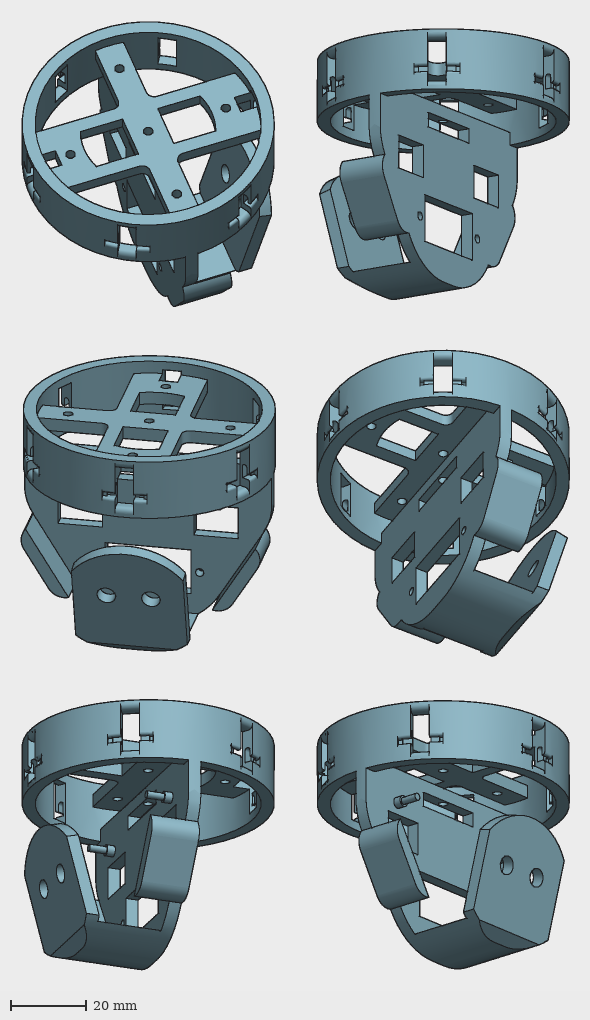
import cadquery as cq
import math

RING_R = 33.5
RING_INNER_R = 30.0
RING_H = 16.5
WALL = 3.5

OVERSHOOT = 1.0

CROSS_Z = 9.5
CROSS_WIDE = 20.0
CROSS_NARROW = 8.0
CROSS_CORNER_R = 2.2
CROSS_SCREW_D = 2.5
CROSS_SCREW_POS = 22.0
CROSS_OPENING_W = 12.2
CROSS_OPENING_START = 5.0
CROSS_OPENING_R = 18.0
CROSS_OVERLAP_R = RING_INNER_R + OVERSHOOT

ROLLER_COUNT = 6
ROLLER_FIRST_ANGLE = 30.0
ROLLER_W = 5.0
ROLLER_H = 11.5
ROLLER_LIP_R = 1.5
ROLLER_INNER_R = 25.35
ROLLER_Z = RING_H / 2

AXLE_SLOT_W = 1.6
AXLE_SLOT_R = 31.6
AXLE_L = 10.0
AXLE_ENTRY_L = 12.2
AXLE_ENTRY_FLOOR_R = 31.7
AXLE_ENTRY_Z = 5.0
AXLE_ENTRY_H = 1.5
AXLE_LIP_R = 0.7

PLATE_BOTTOM = -45.0
PLATE_TOP = 3.5
CHAMFER_X = 20.0
CHAMFER_Z = 32.5
UPPER_CORNER_R = 15.0
LOWER_CORNER_R = 20.0
TOP_SLOT_W = 20.0
TOP_SLOT_H = 4.0
EYE_W = 12.0
EYE_H = 9.0
EYE_X = 18.4
EYE_Z = -14.0
SENSOR_W = 23.2
SENSOR_H = 12.8
SENSOR_Z = -29.4
SENSOR_SCREW_D = 2.2
SENSOR_SCREW_X = 14.0

PEG_X = 20.7
PEG_Z = -6.2
PEG_BASE_D = 3.0
PEG_BASE_L = 2.2
PEG_D = 1.95
PEG_L = 7.0

PAD_RAISE = 3.5
PAD_CORNER_R = 5.0
PAD_OVERHANG = 10.0

SHELF_L = 18.0
WING_TILT = 15.0
WING_L = 31.6
WING_W = 30.3
WING_TOP_R = 19.0
WING_HOLE_D = 5.0
WING_HOLE_X = 6.05
WING_HOLE_HEIGHT = 16.8

CUT_R = RING_R + OVERSHOOT
BACK_Y = WALL / 2
CHAMFER_L = math.hypot(CHAMFER_X, CHAMFER_Z)
CHAMFER_SLOPE = math.degrees(math.atan2(CHAMFER_Z, CHAMFER_X))
UPPER_TANGENT = UPPER_CORNER_R * math.tan(math.radians(90 - CHAMFER_SLOPE) / 2)
LOWER_TANGENT = LOWER_CORNER_R * math.tan(math.radians(CHAMFER_SLOPE) / 2)
CHAMFER_TOP_Z = PLATE_BOTTOM + CHAMFER_Z


def box(x_size, y_size, z_size, x=0, y=0, z=0):
    """Box centred on x and y, standing on z."""
    return cq.Workplane("XY").box(x_size, y_size, z_size, centered=(True, True, False)).translate((x, y, z))


def make_ring():
    return cq.Workplane("XY").circle(RING_R).circle(RING_INNER_R).extrude(RING_H)


def make_cross():
    reach = 2 * CROSS_OVERLAP_R
    cross = box(CROSS_WIDE, reach, WALL).union(box(reach, CROSS_NARROW, WALL))
    inner_corners = cq.selectors.BoxSelector(
        (-CROSS_WIDE, -CROSS_NARROW, -WALL), (CROSS_WIDE, CROSS_NARROW, 2 * WALL)
    )
    cross = cross.edges("|Z").edges(inner_corners).fillet(CROSS_CORNER_R)
    cross = cross.intersect(cq.Workplane("XY").circle(CROSS_OVERLAP_R).extrude(WALL))

    opening_l = CROSS_OPENING_R - CROSS_OPENING_START
    openings = box(CROSS_OPENING_W, opening_l, WALL, y=CROSS_OPENING_START + opening_l / 2)
    openings = openings.union(openings.mirror("XZ"))
    openings = openings.intersect(cq.Workplane("XY").circle(CROSS_OPENING_R).extrude(WALL))

    pos = CROSS_SCREW_POS
    screws = cq.Workplane("XY").pushPoints([(0, 0), (pos, 0), (-pos, 0), (0, pos), (0, -pos)])
    screws = screws.circle(CROSS_SCREW_D / 2).extrude(WALL)
    return cross.cut(openings).cut(screws).translate((0, 0, CROSS_Z))


def flared_band(inner_r, z_low, z_high, lip_r):
    """Annular band whose mouth at the ring surface widens over a convex rounded lip."""
    neck_r = RING_R - lip_r
    bend = lip_r * math.sqrt(0.5)
    return (
        cq.Workplane("XZ")
        .moveTo(inner_r, z_low)
        .lineTo(neck_r, z_low)
        .threePointArc((neck_r + bend, z_low - lip_r + bend), (RING_R, z_low - lip_r))
        .lineTo(CUT_R, z_low - lip_r)
        .lineTo(CUT_R, z_high + lip_r)
        .lineTo(RING_R, z_high + lip_r)
        .threePointArc((neck_r + bend, z_high + lip_r - bend), (neck_r, z_high))
        .lineTo(inner_r, z_high)
        .close()
        .revolve(360, (0, 0, 0), (0, 1, 0))
    )


def radial_block(inner_r, outer_r, width, z_low, z_high):
    return box(outer_r - inner_r, width, z_high - z_low, x=(inner_r + outer_r) / 2, z=z_low)


def make_roller_cut():
    """Window and axle seat of the roller on the +X side."""
    slot_inner_r = AXLE_SLOT_R - AXLE_SLOT_W / 2
    slot_outer_r = AXLE_SLOT_R + AXLE_SLOT_W / 2
    entry_top = AXLE_ENTRY_Z + AXLE_ENTRY_H
    window_low = ROLLER_Z - ROLLER_H / 2
    window_high = ROLLER_Z + ROLLER_H / 2

    window = flared_band(RING_INNER_R - OVERSHOOT, window_low, window_high, ROLLER_LIP_R)
    window = window.intersect(radial_block(0, CUT_R, ROLLER_W, 0, RING_H))
    clearance = radial_block(ROLLER_INNER_R, RING_INNER_R, ROLLER_W, window_low, window_high)

    entry = flared_band(RING_INNER_R, AXLE_ENTRY_Z, entry_top, AXLE_LIP_R)
    entry = entry.intersect(radial_block(AXLE_ENTRY_FLOOR_R, CUT_R, AXLE_ENTRY_L, 0, RING_H))
    entry_floor = radial_block(slot_inner_r, AXLE_ENTRY_FLOOR_R, AXLE_L, AXLE_ENTRY_Z, entry_top)

    slot = radial_block(slot_inner_r, slot_outer_r, AXLE_L, AXLE_ENTRY_Z, ROLLER_Z)
    seat = cq.Workplane("XZ", origin=(AXLE_SLOT_R, AXLE_L / 2, ROLLER_Z))
    seat = seat.circle(AXLE_SLOT_W / 2).extrude(AXLE_L)
    return window.union(clearance).union(entry).union(entry_floor).union(slot).union(seat)


def plate_outline(length):
    """Lower outline of the face plate, from its front face toward +Y by the given length."""
    half_flat = RING_R - CHAMFER_X
    body = (
        cq.Workplane("XZ", origin=(0, -BACK_Y, 0))
        .polyline([
            (-RING_R, PLATE_TOP),
            (-RING_R, CHAMFER_TOP_Z),
            (-half_flat, PLATE_BOTTOM),
            (half_flat, PLATE_BOTTOM),
            (RING_R, CHAMFER_TOP_Z),
            (RING_R, PLATE_TOP),
        ])
        .close()
        .extrude(-length)
    )
    body = body.edges("|Y and <Z").fillet(LOWER_CORNER_R)
    middle = cq.selectors.BoxSelector(
        (-2 * RING_R, -length, CHAMFER_TOP_Z - OVERSHOOT), (2 * RING_R, length, CHAMFER_TOP_Z + OVERSHOOT)
    )
    return body.edges("|Y").edges(middle).fillet(UPPER_CORNER_R)


def make_plate():
    plate = plate_outline(WALL)
    rim = cq.Workplane("XY").workplane(offset=PLATE_BOTTOM).circle(RING_R).extrude(PLATE_TOP - PLATE_BOTTOM)
    plate = plate.intersect(rim)

    plate = plate.cut(box(TOP_SLOT_W, WALL, TOP_SLOT_H, z=-TOP_SLOT_H))
    plate = plate.cut(box(SENSOR_W, WALL, SENSOR_H, z=SENSOR_Z - SENSOR_H / 2))
    for side in (-1, 1):
        plate = plate.cut(box(EYE_W, WALL, EYE_H, x=side * EYE_X, z=EYE_Z - EYE_H / 2))

    sensor_screws = (
        cq.Workplane("XZ", origin=(0, BACK_Y, 0))
        .pushPoints([(-SENSOR_SCREW_X, SENSOR_Z), (SENSOR_SCREW_X, SENSOR_Z)])
        .circle(SENSOR_SCREW_D / 2)
        .extrude(WALL)
    )
    edge_screws = (
        cq.Workplane("XY")
        .pushPoints([(-CROSS_SCREW_POS, 0), (0, 0), (CROSS_SCREW_POS, 0)])
        .circle(CROSS_SCREW_D / 2)
        .extrude(PLATE_TOP)
    )
    return plate.cut(sensor_screws).cut(edge_screws)


def make_pegs():
    back = cq.Workplane("XZ", origin=(0, BACK_Y, 0)).pushPoints([(-PEG_X, PEG_Z), (PEG_X, PEG_Z)])
    return back.circle(PEG_BASE_D / 2).extrude(-PEG_BASE_L).union(back.circle(PEG_D / 2).extrude(-PEG_L))


def make_pads():
    """Rounded pads standing on the straight sloped edges of the plate."""
    pad_l = CHAMFER_L - UPPER_TANGENT - LOWER_TANGENT
    depth = WALL + PAD_OVERHANG
    slope = math.radians(CHAMFER_SLOPE)
    down = (math.cos(slope), 0, -math.sin(slope))
    start = (
        -RING_R + UPPER_TANGENT * math.cos(slope),
        -BACK_Y,
        CHAMFER_TOP_Z - UPPER_TANGENT * math.sin(slope),
    )
    plane = cq.Plane(origin=start, xDir=down, normal=(0, 1, 0))
    arc_run = math.sqrt(PAD_CORNER_R**2 - (PAD_CORNER_R - PAD_RAISE) ** 2)
    pad = (
        cq.Workplane(plane)
        .moveTo(PAD_CORNER_R - arc_run, 0)
        .radiusArc((PAD_CORNER_R, PAD_RAISE), PAD_CORNER_R)
        .lineTo(pad_l - PAD_CORNER_R, PAD_RAISE)
        .radiusArc((pad_l - PAD_CORNER_R + arc_run, 0), PAD_CORNER_R)
        .close()
        .extrude(depth)
    )
    return pad.union(pad.mirror("YZ"))


def make_shelf_and_wing():
    tilt = math.radians(WING_TILT)
    outward = (math.cos(tilt), -math.sin(tilt))
    foot_y = BACK_Y + SHELF_L
    foot_z = PLATE_BOTTOM + WALL

    shelf = box(2 * RING_R, BACK_Y + foot_y, WALL, y=(foot_y - BACK_Y) / 2, z=PLATE_BOTTOM)
    knee = (
        cq.Workplane("YZ", origin=(-RING_R, 0, 0))
        .polyline([
            (foot_y, foot_z),
            (foot_y, PLATE_BOTTOM),
            (foot_y + WALL * outward[0], foot_z + WALL * outward[1]),
        ])
        .close()
        .extrude(2 * RING_R)
    )

    plane = cq.Plane(origin=(0, foot_y, foot_z), xDir=(-1, 0, 0), normal=(0, *outward))
    half_w = WING_W / 2
    shoulder = WING_L - WING_TOP_R + math.sqrt(WING_TOP_R**2 - half_w**2)
    wing = (
        cq.Workplane(plane)
        .moveTo(-half_w, 0)
        .lineTo(-half_w, shoulder)
        .threePointArc((0, WING_L), (half_w, shoulder))
        .lineTo(half_w, 0)
        .close()
        .extrude(WALL)
    )
    sensor_holes = (
        cq.Workplane(plane)
        .pushPoints([(-WING_HOLE_X, WING_HOLE_HEIGHT), (WING_HOLE_X, WING_HOLE_HEIGHT)])
        .circle(WING_HOLE_D / 2)
        .extrude(WALL)
    )
    wing = wing.cut(sensor_holes)
    reach = foot_y + WING_L
    return shelf.union(knee).union(wing).intersect(plate_outline(reach))


result = make_ring().union(make_cross())
roller_cut = make_roller_cut()
for i in range(ROLLER_COUNT):
    angle = ROLLER_FIRST_ANGLE + i * 360 / ROLLER_COUNT
    result = result.cut(roller_cut.rotate((0, 0, 0), (0, 0, 1), angle))
result = result.union(make_plate()).union(make_pegs()).union(make_pads()).union(make_shelf_and_wing())